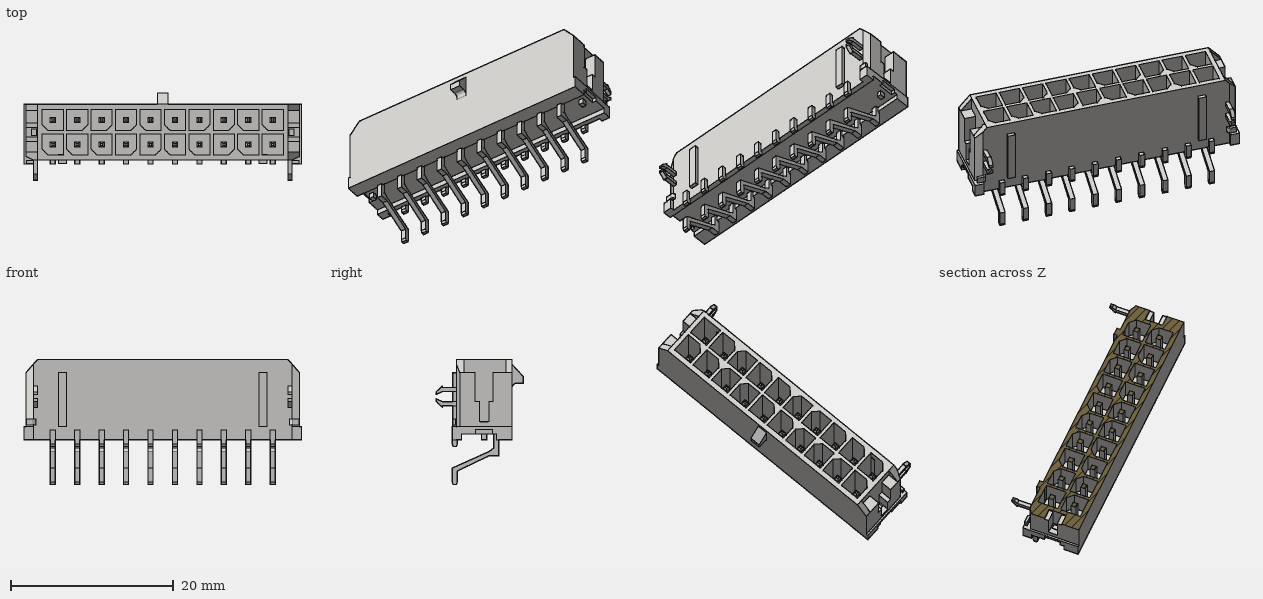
import cadquery as cq
import math


LENGTH = 34.15
DEPTH = 6.85
HEIGHT = 9.9
BODY_HALF = 16.85
TOP_HALF = 15.4
SHOULDER_Z = 8.25
CORNER_X = 0.92
CORNER_Y = 0.45

FLANGE_WIDTH = 1.15
FLANGE_HEIGHT = 1.65
FRONT_REACH = 0.5
CHANNEL_FRONT = 0.65
CHANNEL_BACK = 4.95
CHANNEL_HEIGHT = 0.72
NOTCH_FRONT = 2.4
NOTCH_BACK = 4.47
NOTCH_TOP = 1.25
NOTCH_DEPTH = 0.5

CHEEK_FRONT = 0.95
CHEEK_BACK = 0.75
SLOT_CENTRE = 3.4
WIDE_SLOT = 2.25
WIDE_SLOT_Z = 4.75
NARROW_SLOT = 1.15
NARROW_SLOT_Z = 2.25

COLUMNS = 10
PITCH = 3.0
PIN = 0.65
FRONT_ROW_Y = 1.9
ROWS_Y = (FRONT_ROW_Y, FRONT_ROW_Y + PITCH)
PIN_TOP = 6.83
PIN_TAPER = 0.2
PIN_TAPER_LENGTH = 0.4

CELL = 2.6
CELL_FLOOR = 2.05
CELL_CUT = 0.72
CUT_CORNERS = ("LLLRRLLRLN", "LRRRLLRRLL")

LEAD_TOP = 1.23
FRONT_LEAD_BOTTOM = -0.82
LEAD_BOTTOM = -5.5
LEAD_TIP_Y = 0.15
LEAD_TIP_Z = 0.3
LEAD_BACK = PIN - FRONT_REACH
ELBOW_BOTTOM = -1.95
ELBOW_INSIDE = -1.0
SLOPE_START_Y = 4.05
SLOPE_START_Z = -1.4
KNEE_TOP = -3.45
KNEE_BOTTOM = -3.82

RIB_WIDTH = 1.0
RIB_X = 12.33
RIB_REACH = 0.45
LATCH_WIDTH = 1.33
LATCH_REACH = 1.4
LATCH_TOP = 9.3
LATCH_NOSE_TOP = 7.8
LATCH_BOTTOM = 6.95
LATCH_FILLET = 0.58

CLIP_INNER = 15.4
CLIP_THICKNESS = 0.5
PRONG_Z = 5.33
PRONG_INSIDE = 0.6
PRONG_OUTSIDE = 1.13
BARB_OUTSIDE = 1.33
BARB_Y = -1.7
PRONG_TIP_Y = -2.5
TIP_INSIDE = 0.25
TIP_OUTSIDE = 0.58
PRONG_ROOT_Y = 0.7
POST_WIDTH = 0.7
POST_INNER = 15.5
POST_OUTER = 16.05
POST_TOP = 2.2
POST_CLEARANCE = 0.07

TAB_OUTER = 16.75
TAB_INNER = 15.57
TAB_REACH = 0.4
TAB_THICKNESS = 0.35
TAB_BEND = 0.4
TAB_BOTTOM = 1.85
TAB_TOP = 2.6


def box(x0, x1, y0, y1, z0, z1):
    return cq.Workplane("XY").box(x1 - x0, y1 - y0, z1 - z0, centered=False).translate((x0, y0, z0))


def plate(outline, width, centre_x):
    """Extrude a closed outline of (y, z) points along X, centred on centre_x."""
    solid = cq.Workplane("YZ").polyline(outline).close().extrude(width / 2, both=True)
    return solid.translate((centre_x, 0, 0))


def column_x(column):
    return (column - (COLUMNS - 1) / 2) * PITCH


def both_ends(feature):
    return feature.union(feature.mirror("YZ"))


def make_housing():
    profile = [
        (-BODY_HALF, 0), (BODY_HALF, 0), (BODY_HALF, SHOULDER_Z),
        (TOP_HALF, HEIGHT), (-TOP_HALF, HEIGHT), (-BODY_HALF, SHOULDER_Z),
    ]
    housing = cq.Workplane("XZ").polyline(profile).close().extrude(-DEPTH)
    corner = [(BODY_HALF, 0), (BODY_HALF, CORNER_Y), (BODY_HALF - CORNER_X, 0)]
    corner_cut = cq.Workplane("XY").polyline(corner).close().extrude(HEIGHT)
    return housing.cut(both_ends(corner_cut))


def make_flange():
    half = LENGTH / 2
    return box(half - FLANGE_WIDTH, half, -FRONT_REACH, DEPTH, 0, FLANGE_HEIGHT)


def make_end_cut():
    """Everything removed from the +X end above the flange, plus the notch in the flange face."""
    half = LENGTH / 2
    cut = box(TOP_HALF, half, CHEEK_FRONT, DEPTH - CHEEK_BACK, SHOULDER_Z, HEIGHT)
    for width, floor in ((WIDE_SLOT, WIDE_SLOT_Z), (NARROW_SLOT, NARROW_SLOT_Z)):
        cut = cut.union(box(TOP_HALF, half, SLOT_CENTRE - width / 2, SLOT_CENTRE + width / 2, floor, HEIGHT))
    hole_half = POST_WIDTH / 2 + POST_CLEARANCE
    post_hole = box(
        POST_INNER, POST_OUTER + POST_CLEARANCE,
        SLOT_CENTRE - hole_half, SLOT_CENTRE + hole_half, POST_TOP, NARROW_SLOT_Z,
    )
    notch = box(half - NOTCH_DEPTH, half, NOTCH_FRONT, NOTCH_BACK, 0, NOTCH_TOP)
    return cut.union(post_hole).union(notch)


def make_cell(x, y, cut_corner):
    half = CELL / 2
    cell = box(x - half, x + half, y - half, y + half, CELL_FLOOR, HEIGHT)
    if cut_corner == "L":
        return cell.edges("|Z and <X and <Y").chamfer(CELL_CUT)
    if cut_corner == "R":
        return cell.edges("|Z and >X and <Y").chamfer(CELL_CUT)
    return cell


def make_pin(x, y):
    tip_start = PIN_TOP - PIN_TAPER_LENGTH
    half = PIN / 2
    shaft = box(x - half, x + half, y - half, y + half, CHANNEL_HEIGHT, tip_start)
    tip = (
        cq.Workplane("XY", origin=(x, y, tip_start)).rect(PIN, PIN)
        .workplane(offset=PIN_TAPER_LENGTH).rect(PIN - 2 * PIN_TAPER, PIN - 2 * PIN_TAPER).loft()
    )
    return shaft.union(tip)


def lead_tip(bottom):
    """Blunted end of a lead, listed from the front side to the rear side."""
    return [
        (-FRONT_REACH, bottom + LEAD_TIP_Z), (-FRONT_REACH + LEAD_TIP_Y, bottom),
        (LEAD_BACK - LEAD_TIP_Y, bottom), (LEAD_BACK, bottom + LEAD_TIP_Z),
    ]


def make_front_lead(x):
    return plate([(LEAD_BACK, LEAD_TOP), (-FRONT_REACH, LEAD_TOP)] + lead_tip(FRONT_LEAD_BOTTOM), PIN, x)


def make_rear_lead(x):
    front = ROWS_Y[1] - PIN / 2
    back = ROWS_Y[1] + PIN / 2
    start = [
        (back, CHANNEL_HEIGHT), (front, CHANNEL_HEIGHT), (front, ELBOW_INSIDE),
        (SLOPE_START_Y, SLOPE_START_Z), (-FRONT_REACH, KNEE_TOP),
    ]
    finish = [(LEAD_BACK, KNEE_BOTTOM), (SLOPE_START_Y, ELBOW_BOTTOM), (back, ELBOW_BOTTOM)]
    return plate(start + lead_tip(LEAD_BOTTOM) + finish, PIN, x)


def make_latch():
    tip_y = DEPTH + LATCH_REACH
    arc_middle = (
        DEPTH + LATCH_FILLET * (1 - math.sqrt(0.5)),
        LATCH_BOTTOM - LATCH_FILLET * (1 - math.sqrt(0.5)),
    )
    return (
        cq.Workplane("YZ")
        .moveTo(DEPTH, LATCH_TOP)
        .lineTo(tip_y, LATCH_NOSE_TOP)
        .lineTo(tip_y, LATCH_BOTTOM)
        .lineTo(DEPTH + LATCH_FILLET, LATCH_BOTTOM)
        .threePointArc(arc_middle, (DEPTH, LATCH_BOTTOM - LATCH_FILLET))
        .close()
        .extrude(LATCH_WIDTH / 2, both=True)
    )


def make_clip():
    centre_x = CLIP_INNER + CLIP_THICKNESS / 2
    post_half = POST_WIDTH / 2
    clip = box(POST_INNER, POST_OUTER, SLOT_CENTRE - post_half, SLOT_CENTRE + post_half, 0, POST_TOP)
    for side in (-1, 1):
        outline = [
            (PRONG_ROOT_Y, PRONG_INSIDE), (PRONG_ROOT_Y, PRONG_OUTSIDE), (BARB_Y, PRONG_OUTSIDE),
            (BARB_Y, BARB_OUTSIDE), (PRONG_TIP_Y, TIP_OUTSIDE), (PRONG_TIP_Y, TIP_INSIDE),
            (BARB_Y, PRONG_INSIDE),
        ]
        clip = clip.union(plate([(y, PRONG_Z + side * z) for y, z in outline], CLIP_THICKNESS, centre_x))
    return clip


def make_tab():
    bend_x = TAB_INNER + TAB_BEND
    bend_y = TAB_BEND - TAB_REACH
    bend_offset = TAB_BEND * math.sqrt(0.5)
    outline = (
        cq.Workplane("XY", origin=(0, 0, TAB_BOTTOM))
        .moveTo(TAB_OUTER, -TAB_REACH)
        .lineTo(bend_x, -TAB_REACH)
        .threePointArc((bend_x - bend_offset, bend_y - bend_offset), (TAB_INNER, bend_y))
        .lineTo(TAB_INNER, CORNER_Y)
        .lineTo(TAB_INNER + TAB_THICKNESS, CORNER_Y)
        .lineTo(TAB_INNER + TAB_THICKNESS, TAB_THICKNESS - TAB_REACH)
        .lineTo(TAB_OUTER, TAB_THICKNESS - TAB_REACH)
        .close()
    )
    return outline.extrude(TAB_TOP - TAB_BOTTOM)


rib = box(RIB_X - RIB_WIDTH / 2, RIB_X + RIB_WIDTH / 2, -RIB_REACH, CHANNEL_FRONT, FLANGE_HEIGHT, SHOULDER_Z)
channel = box(-LENGTH / 2, LENGTH / 2, CHANNEL_FRONT, CHANNEL_BACK, 0, CHANNEL_HEIGHT)

result = make_housing().union(both_ends(make_flange())).cut(both_ends(make_end_cut())).cut(channel)
for row_y, corners in zip(ROWS_Y, CUT_CORNERS):
    for column, cut_corner in enumerate(corners):
        x = column_x(column)
        result = result.cut(make_cell(x, row_y, cut_corner)).union(make_pin(x, row_y))
for column in range(COLUMNS):
    x = column_x(column)
    result = result.union(make_front_lead(x)).union(make_rear_lead(x))
for end_feature in (rib, make_clip(), make_tab()):
    result = result.union(both_ends(end_feature))
result = result.union(make_latch())